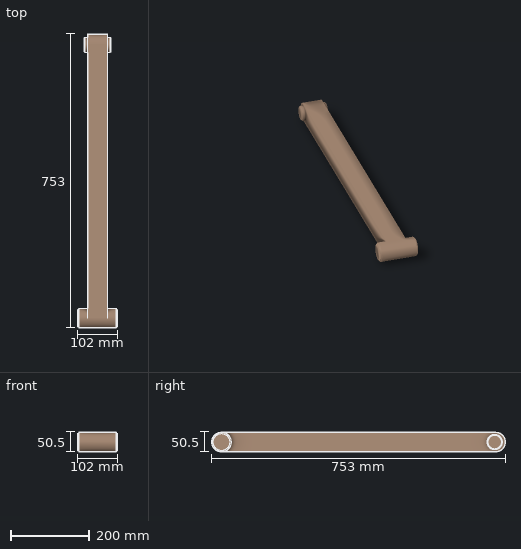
import cadquery as cq

length = 753.0
bar_height = 50.5
bar_width = 51.0
large_pin_length = 102.0
large_pin_chamfer = 4.0
small_pin_diameter = 39.0
small_pin_length = 69.0
small_pin_chamfer = 2.0
small_pin_inset = 2.0

large_pin_diameter = bar_height
end_radius = bar_height / 2
large_pin_y = -length / 2 + end_radius
round_end_y = length / 2 - end_radius
small_pin_y = round_end_y - small_pin_inset


def make_bar():
    """Bar from the large pin axis to a fully rounded +Y end."""
    return (
        cq.Workplane("YZ", origin=(-bar_width / 2, 0, 0))
        .moveTo(large_pin_y, -end_radius)
        .lineTo(round_end_y, -end_radius)
        .threePointArc((length / 2, 0), (round_end_y, end_radius))
        .lineTo(large_pin_y, end_radius)
        .close()
        .extrude(bar_width)
    )


def make_pin(y, diameter, pin_length, chamfer):
    """Cross pin along X, chamfered at both ends and centred on the bar."""
    pin = cq.Workplane("YZ", origin=(-pin_length / 2, y, 0)).circle(diameter / 2).extrude(pin_length)
    return pin.faces("<X or >X").chamfer(chamfer)


large_pin = make_pin(large_pin_y, large_pin_diameter, large_pin_length, large_pin_chamfer)
small_pin = make_pin(small_pin_y, small_pin_diameter, small_pin_length, small_pin_chamfer)

result = make_bar().union(large_pin).union(small_pin)